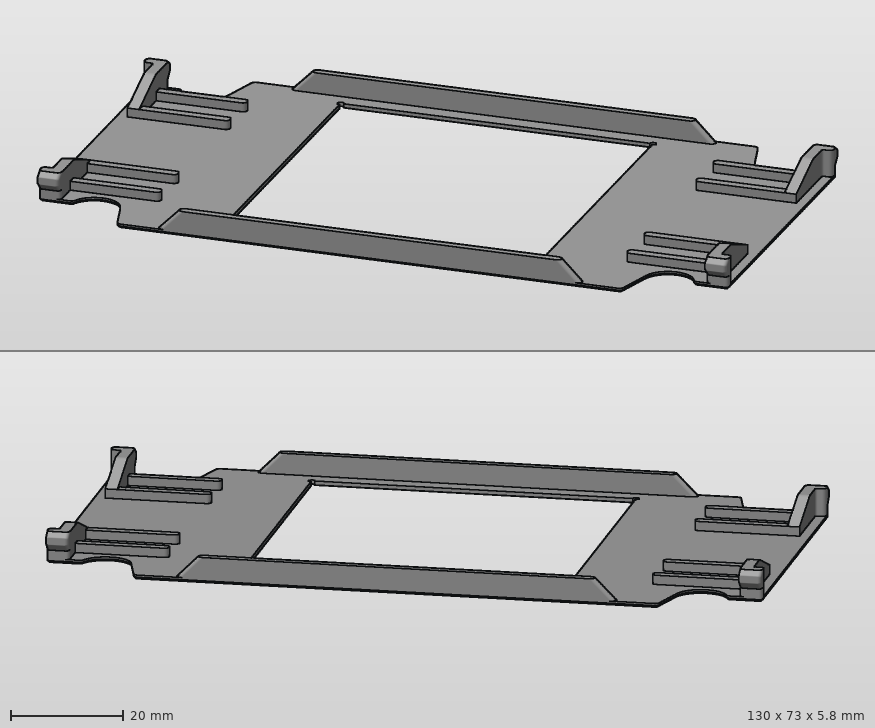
import cadquery as cq
import math

length = 130.0
width = 73.0
height = 5.8
plate_thickness = 0.8
bottom_chamfer = 0.4
half_length = length / 2
half_width = width / 2

tab_half_width = 28.9
notch_x = 54.1
notch_y = 30.3
notch_radius = 4.7
notch_lip_radius = 0.6
flank_angle = math.radians(15)
shoulder_radius = 0.9

window_length = 58.9
window_width = 63.6
relief_radius = 0.58

flange_thickness = 1.5
flange_height = 4.7
flange_base_length = 79.8
flange_end_angle = math.radians(45)
flange_end_radius = 0.72

latch_depth = 4.2
wall_thickness = 2.2
wall_inner_y = 13.0
slope_top_y = 22.0
slope_low_z = 2.5
slope_blend_radius = 2.6
block_inner_y = 26.9
block_outer_radius = 0.8
block_inner_radius = 0.4
hook_tip_y = 30.2
hook_top_y = 29.0
hook_tip_top_z = 5.1
hook_tip_bottom_z = 3.6
hook_tip_radius = 0.3
hook_side_radius = 0.6
pick_margin = 0.1

rib_width = 1.8
rib_height = 2.5
rib_end_x = 44.0
rib_end_radius = 0.8
rib_centers_y = (23.0, wall_inner_y + rib_width / 2)


def nearest(x, y, z):
    return cq.selectors.NearestToPointSelector((x, y, z))


def mirrored_four_ways(solid):
    """Repeat a solid of the +X +Y quarter in all four quarters."""
    pair = solid.union(solid.mirror("YZ"))
    return pair.union(pair.mirror("XZ"))


def make_plate():
    flank_x = notch_x - notch_radius * math.cos(flank_angle)
    flank_y = notch_y - notch_radius * math.sin(flank_angle)
    shoulder_x = flank_x - (half_width - flank_y) * math.tan(flank_angle)
    lip_x = notch_x + math.sqrt(notch_radius**2 - (notch_y - tab_half_width) ** 2)

    quarter = (
        cq.Workplane("XY")
        .lineTo(half_length, 0)
        .lineTo(half_length, tab_half_width)
        .lineTo(lip_x, tab_half_width)
        .threePointArc((notch_x, notch_y - notch_radius), (flank_x, flank_y))
        .lineTo(shoulder_x, half_width)
        .lineTo(0, half_width)
        .close()
        .extrude(plate_thickness)
    )
    mid_z = plate_thickness / 2
    quarter = quarter.edges(nearest(shoulder_x, half_width, mid_z)).fillet(shoulder_radius)
    quarter = quarter.edges(nearest(lip_x, tab_half_width, mid_z)).fillet(notch_lip_radius)
    quarter = quarter.edges(nearest(half_length, tab_half_width, mid_z)).fillet(hook_side_radius)
    plate = mirrored_four_ways(quarter).clean()
    plate = plate.faces("<Z").edges().chamfer(bottom_chamfer)

    window = cq.Workplane("XY").rect(window_length, window_width).extrude(plate_thickness)
    reliefs = (
        cq.Workplane("XY")
        .rect(window_length, window_width, forConstruction=True)
        .vertices()
        .circle(relief_radius)
        .extrude(plate_thickness)
    )
    return plate.cut(window).cut(reliefs)


def make_flange():
    """Flange on the +Y edge, with sloped and rounded ends."""
    half_base = flange_base_length / 2
    half_top = half_base - (flange_height - plate_thickness) * math.tan(flange_end_angle)
    flange = (
        cq.Workplane("XZ", origin=(0, half_width, 0))
        .moveTo(-half_base, plate_thickness)
        .lineTo(half_base, plate_thickness)
        .lineTo(half_top, flange_height)
        .lineTo(-half_top, flange_height)
        .close()
        .extrude(flange_thickness)
    )
    return flange.edges("not(|X or |Y)").fillet(flange_end_radius)


def make_latch():
    """Latch of the +X +Y quarter, standing on the plate."""
    inner_x = half_length - latch_depth
    wall_outer_x = inner_x + wall_thickness
    middle_x = half_length - latch_depth / 2
    undercut_z = hook_tip_bottom_z - (hook_tip_y - tab_half_width)
    latch = (
        cq.Workplane("YZ", origin=(inner_x, 0, 0))
        .moveTo(wall_inner_y, plate_thickness)
        .lineTo(tab_half_width, plate_thickness)
        .lineTo(tab_half_width, undercut_z)
        .lineTo(hook_tip_y, hook_tip_bottom_z)
        .lineTo(hook_tip_y, hook_tip_top_z)
        .lineTo(hook_top_y, height)
        .lineTo(slope_top_y, height)
        .lineTo(wall_inner_y, slope_low_z)
        .close()
        .extrude(latch_depth)
    )
    latch = latch.edges(nearest(middle_x, slope_top_y, height)).fillet(slope_blend_radius)
    for tip_z in (hook_tip_bottom_z, hook_tip_top_z):
        latch = latch.edges(nearest(middle_x, hook_tip_y, tip_z)).fillet(hook_tip_radius)

    recess = (
        cq.Workplane("XY")
        .box(latch_depth, block_inner_y, height, centered=False)
        .translate((wall_outer_x, 0, 0))
    )
    latch = latch.cut(recess)
    latch = latch.edges(nearest(half_length, block_inner_y, height / 2)).fillet(block_outer_radius)
    latch = latch.edges(nearest(wall_outer_x, block_inner_y, height / 2)).fillet(block_inner_radius)

    for side_x in (inner_x, half_length):
        hook_end = cq.selectors.BoxSelector(
            (side_x - pick_margin, tab_half_width - pick_margin, plate_thickness + pick_margin),
            (side_x + pick_margin, hook_tip_y + pick_margin, height - pick_margin),
        )
        latch = latch.edges(hook_end).fillet(hook_side_radius)
    return latch


def make_rib(center_y):
    start_x = half_length - latch_depth
    rib = (
        cq.Workplane("XY")
        .box(start_x - rib_end_x, rib_width, rib_height - plate_thickness, centered=(False, True, False))
        .translate((rib_end_x, center_y, plate_thickness))
    )
    return rib.edges("|Z and <X").fillet(rib_end_radius)


flange = make_flange()
result = make_plate().union(flange).union(flange.mirror("XZ"))
result = result.union(mirrored_four_ways(make_latch()))
for rib_center_y in rib_centers_y:
    result = result.union(mirrored_four_ways(make_rib(rib_center_y)))